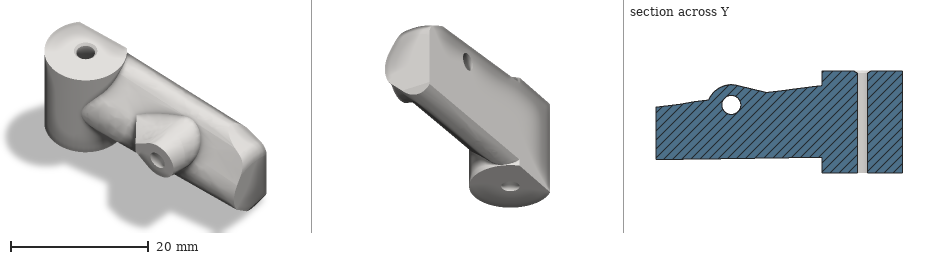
import cadquery as cq
import math

BARREL_RADIUS = 6.0
BARREL_HEIGHT = 14.89
SCREW_HOLE_DIAMETER = 2.7
SCREW_HOLE_CHAMFER = 0.35

ARM_END_X = 29.99
BACK_Y_AT_END = 4.64
BACK_TILT_DEGREES = 1.0

SHOULDER_Y = 0.3
ROOT_SECTION = {
    "top_shoulder_z": 14.35,
    "top_crown_z": 14.89,
    "bottom_shoulder_z": 1.1,
    "bottom_crown_z": 0.18,
    "nose_upper": (-2.85, 12.45),
    "nose_tip": (-5.3, 8.5),
    "nose_lower": (-3.8, 4.75),
}
TIP_SECTION = {
    "top_shoulder_z": 11.98,
    "top_crown_z": 13.06,
    "bottom_shoulder_z": 0.6,
    "bottom_crown_z": -0.23,
    "nose_upper": (-2.2, 7.97),
    "nose_tip": (-2.93, 5.5),
    "nose_lower": (-2.3, 3.03),
}

END_SLOPE_START_X = 24.7
END_SLOPE_START_Z = 13.5
END_SLOPE_DEGREES = 24.0
END_ROUND_RADIUS = 2.2
END_AXIS_Y = 1.3
END_AXIS_Z = 2.4
END_BOTTOM_TRIM_LENGTH = 0.45
END_BOTTOM_TRIM_HEIGHT = 1.1

BOSS_FACE_Y = -6.97
BOSS_DEPTH = 8.0
BOSS_X = 19.02
BOSS_Z = 9.94
BOSS_RADIUS = 3.0
BOSS_HOLE_DIAMETER = 2.7
BOSS_TIP_X = 14.93
BOSS_TIP_TOP_Z = 10.75
BOSS_TIP_BOTTOM_Z = 9.15
RADIUS_GROWTH = 0.11
CENTRE_SHIFT_X = -0.01
TIP_SHIFT_X = -0.77
TIP_TOP_SHIFT_Z = 0.033
TIP_BOTTOM_SHIFT_Z = -0.28

CUT_MARGIN = 5.0


def back_y(x):
    """Y of the tilted flat back at a given X."""
    return BACK_Y_AT_END - (ARM_END_X - x) * math.tan(math.radians(BACK_TILT_DEGREES))


def make_barrel():
    barrel = cq.Workplane("XY").circle(BARREL_RADIUS).extrude(BARREL_HEIGHT)
    side = BARREL_RADIUS + CUT_MARGIN
    behind_back = (
        cq.Workplane("XY")
        .moveTo(-side, back_y(-side))
        .lineTo(side, back_y(side))
        .lineTo(side, side)
        .lineTo(-side, side)
        .close()
        .extrude(BARREL_HEIGHT)
    )
    return barrel.cut(behind_back)


def arm_section(x, section):
    """Closed arm outline in the plane X = x: flat back, crowned ends, rounded nose."""
    back = back_y(x)
    crown_y = (back + SHOULDER_Y) / 2
    return (
        cq.Workplane("YZ", origin=(x, 0, 0))
        .moveTo(back, section["bottom_shoulder_z"])
        .lineTo(back, section["top_shoulder_z"])
        .threePointArc((crown_y, section["top_crown_z"]), (SHOULDER_Y, section["top_shoulder_z"]))
        .lineTo(*section["nose_upper"])
        .threePointArc(section["nose_tip"], section["nose_lower"])
        .lineTo(SHOULDER_Y, section["bottom_shoulder_z"])
        .threePointArc((crown_y, section["bottom_crown_z"]), (back, section["bottom_shoulder_z"]))
        .close()
        .val()
    )


def make_end_envelope():
    """Turned body that trims the free end: sloped top running into a round and a flat end."""
    slope = math.radians(END_SLOPE_DEGREES)
    corner_z = END_SLOPE_START_Z - (ARM_END_X - END_SLOPE_START_X) * math.tan(slope)
    corner_turn = math.pi / 2 - slope
    tangent_length = END_ROUND_RADIUS * math.tan(corner_turn / 2)
    round_start = (
        ARM_END_X - tangent_length * math.cos(slope),
        corner_z + tangent_length * math.sin(slope),
    )
    round_end = (ARM_END_X, corner_z - tangent_length)
    mid_angle = corner_turn / 2
    round_mid = (
        ARM_END_X - END_ROUND_RADIUS * (1 - math.cos(mid_angle)),
        round_end[1] + END_ROUND_RADIUS * math.sin(mid_angle),
    )
    slope_z_at_root = END_SLOPE_START_Z + END_SLOPE_START_X * math.tan(slope)
    return (
        cq.Workplane("XZ", origin=(0, END_AXIS_Y, 0))
        .moveTo(0, END_AXIS_Z)
        .lineTo(0, slope_z_at_root)
        .lineTo(*round_start)
        .threePointArc(round_mid, round_end)
        .lineTo(ARM_END_X, END_AXIS_Z)
        .close()
        .revolve(360, (0, END_AXIS_Z), (ARM_END_X, END_AXIS_Z))
    )


def make_end_bottom_trim():
    """Wedge that bevels the lower edge of the free end."""
    bottom_z = TIP_SECTION["bottom_crown_z"]
    return (
        cq.Workplane("XZ")
        .moveTo(ARM_END_X, bottom_z + END_BOTTOM_TRIM_HEIGHT)
        .lineTo(ARM_END_X - END_BOTTOM_TRIM_LENGTH, bottom_z)
        .lineTo(ARM_END_X, bottom_z)
        .close()
        .extrude(BARREL_RADIUS, both=True)
    )


def make_arm():
    root = arm_section(0, ROOT_SECTION)
    tip = arm_section(ARM_END_X, TIP_SECTION)
    arm = cq.Workplane(cq.Solid.makeLoft([root, tip], True))
    return arm.intersect(make_end_envelope()).cut(make_end_bottom_trim())


def tangent_angle(centre, radius, point, side):
    """Angle on the circle where a line from an outside point touches it."""
    offset_x = point[0] - centre[0]
    offset_z = point[1] - centre[1]
    spread = math.acos(radius / math.hypot(offset_x, offset_z))
    return math.atan2(offset_z, offset_x) + side * spread


def boss_section(depth):
    """Teardrop outline at a given depth behind the boss face."""
    radius = BOSS_RADIUS + RADIUS_GROWTH * depth
    centre = (BOSS_X + CENTRE_SHIFT_X * depth, BOSS_Z - RADIUS_GROWTH * depth)
    tip_x = BOSS_TIP_X + TIP_SHIFT_X * depth
    tip_top = (tip_x, BOSS_TIP_TOP_Z + TIP_TOP_SHIFT_Z * depth)
    tip_bottom = (tip_x, BOSS_TIP_BOTTOM_Z + TIP_BOTTOM_SHIFT_Z * depth)

    def on_circle(angle):
        return (centre[0] + radius * math.cos(angle), centre[1] + radius * math.sin(angle))

    top_touch = on_circle(tangent_angle(centre, radius, tip_top, -1))
    bottom_touch = on_circle(tangent_angle(centre, radius, tip_bottom, 1))
    return (
        cq.Workplane("XZ", origin=(0, BOSS_FACE_Y + depth, 0))
        .moveTo(*tip_bottom)
        .lineTo(*tip_top)
        .lineTo(*top_touch)
        .threePointArc(on_circle(0), bottom_touch)
        .close()
        .val()
    )


def make_boss():
    return cq.Workplane(cq.Solid.makeLoft([boss_section(0), boss_section(BOSS_DEPTH)], True))


def make_screw_hole():
    """Vertical through hole with a 45 degree chamfer at the top of the barrel."""
    radius = SCREW_HOLE_DIAMETER / 2
    return (
        cq.Workplane("XZ")
        .moveTo(0, 0)
        .lineTo(radius, 0)
        .lineTo(radius, BARREL_HEIGHT - SCREW_HOLE_CHAMFER)
        .lineTo(radius + SCREW_HOLE_CHAMFER, BARREL_HEIGHT)
        .lineTo(0, BARREL_HEIGHT)
        .close()
        .revolve(360, (0, 0), (0, BARREL_HEIGHT))
    )


def make_boss_hole():
    length = BACK_Y_AT_END - BOSS_FACE_Y
    return (
        cq.Workplane("XZ", origin=(BOSS_X, BACK_Y_AT_END, BOSS_Z))
        .circle(BOSS_HOLE_DIAMETER / 2)
        .extrude(length)
    )


body = make_barrel().union(make_arm()).union(make_boss())
result = body.cut(make_screw_hole()).cut(make_boss_hole())